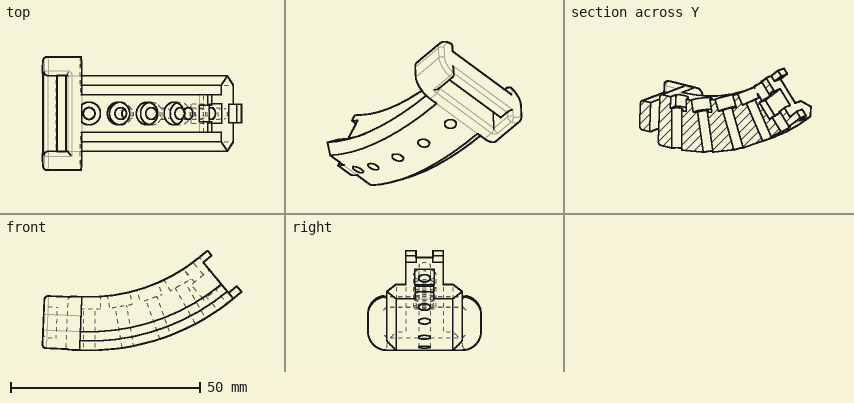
import cadquery as cq

inner_radius = 45.85
outer_radius = 60.0
start_angle = -2.4
end_angle = 39.5
rib_width = 10.0
flange_width = 20.0
flange_thickness = 4.95
flange_bevel = flange_thickness / 2

hole_count = 4
hole_pitch_angle = 9.8
hole_diameter = 3.05
counterbore_diameter = 6.0
counterbore_depth = 3.15

upper_tab_gap = 4.45
upper_tab_thickness = 1.75
lower_tab_width = 4.95
lower_tab_thickness = 2.0
tab_length = 2.85
socket_width = 5.3
socket_inner_radius = 50.0
socket_outer_radius = 55.15
pin_setback = 3.65
socket_depth = pin_setback + socket_width / 2

loop_width = 30.0
loop_length = 9.9
loop_corner_radius = 5.0
loop_edge_radius = 1.05
slot_width = 20.05
slot_length = 2.75
bar_thickness = 3.5
bar_recess = 3.0
loop_height = outer_radius - inner_radius

hole_overshoot = 0.55
selection_margin = 0.05


def at_angle(shape, angle):
    """Swing a shape built straight below the bend axis to its place along the bend."""
    return shape.rotate((0, 0, 0), (0, 1, 0), -angle)


def box_between(x_range, y_range, z_range):
    """A box given by its low and high limits along each axis."""
    sizes = [high - low for low, high in (x_range, y_range, z_range)]
    corner = (x_range[0], y_range[0], z_range[0])
    return cq.Workplane("XY").box(*sizes, centered=False).translate(corner)


def centred(width):
    """Limits of a width placed evenly about zero."""
    return (-width / 2, width / 2)


def radial_cylinder(diameter, from_radius, to_radius):
    """A vertical cylinder below the bend axis, between two distances from the axis."""
    height = to_radius - from_radius
    return cq.Workplane("XY").workplane(offset=-to_radius).circle(diameter / 2).extrude(height)


def curved_rail():
    """Revolve the rib and bevelled flange section about the bend axis."""
    half_rib = rib_width / 2
    half_flange = flange_width / 2
    half_flat = half_flange - flange_bevel
    flange_top = flange_thickness - outer_radius
    flange_middle = flange_bevel - outer_radius
    section = cq.Workplane("YZ").polyline([
        (-half_rib, -inner_radius),
        (half_rib, -inner_radius),
        (half_rib, flange_top),
        (half_flat, flange_top),
        (half_flange, flange_middle),
        (half_flat, -outer_radius),
        (-half_flat, -outer_radius),
        (-half_flange, flange_middle),
        (-half_flat, flange_top),
        (-half_rib, flange_top),
    ]).close()
    rail = section.revolve(end_angle - start_angle, (0, 0, 0), (-1, 0, 0))
    return at_angle(rail, start_angle)


def counterbored_hole():
    """Cutter for a through hole with its counterbore sunk from the inner face of the rib."""
    through = radial_cylinder(
        hole_diameter, inner_radius - hole_overshoot, outer_radius + hole_overshoot
    )
    counterbore = radial_cylinder(
        counterbore_diameter, inner_radius - hole_overshoot, inner_radius + counterbore_depth
    )
    return through.union(counterbore)


def end_tabs():
    """Two tabs continuing the rib sides and one continuing the flange bottom."""
    upper_z = (-inner_radius - upper_tab_thickness, -inner_radius)
    lower_z = (-outer_radius, lower_tab_thickness - outer_radius)
    x_range = (0, tab_length)
    upper = box_between(x_range, centred(rib_width), upper_z)
    gap = box_between(x_range, centred(upper_tab_gap), upper_z)
    lower = box_between(x_range, centred(lower_tab_width), lower_z)
    return at_angle(upper.cut(gap).union(lower), end_angle)


def end_socket():
    """Rectangular socket in the end face, crossed by a pin hole parallel to that face."""
    socket = box_between(
        (-socket_depth, 0), centred(socket_width), (-socket_outer_radius, -socket_inner_radius)
    )
    pin_hole = radial_cylinder(
        hole_diameter, inner_radius - hole_overshoot, outer_radius + hole_overshoot
    ).translate((-pin_setback, 0, 0))
    return at_angle(socket.union(pin_hole), end_angle)


def slot_rim_edges(block, rim_z, slot_back):
    """The side and back edges where the slot opens through the face at height rim_z."""
    reach = slot_width / 2 + selection_margin
    low = (-loop_length - selection_margin, -reach, rim_z - selection_margin)
    high = (slot_back + selection_margin, reach, rim_z + selection_margin)
    return block.edges(cq.selectors.BoxSelector(low, high, boundingbox=True))


def strap_loop():
    """Rounded block with a strap slot behind a lower, recessed front bar."""
    middle_z = -(inner_radius + outer_radius) / 2
    block = (
        box_between((-loop_length, 0), centred(loop_width), (-outer_radius, -inner_radius))
        .edges("|X")
        .fillet(loop_corner_radius)
    )
    slot_back = bar_thickness + slot_length - loop_length
    bar_height = loop_height - 2 * bar_recess
    opening = box_between(
        (-loop_length, slot_back), centred(slot_width), (-outer_radius, -inner_radius)
    )
    bar = box_between(
        (-loop_length, bar_thickness - loop_length),
        centred(slot_width),
        (middle_z - bar_height / 2, middle_z + bar_height / 2),
    )
    block = block.cut(opening.cut(bar))
    front_edges = block.faces("<X").edges()
    upper_rim = slot_rim_edges(block, -inner_radius, slot_back)
    lower_rim = slot_rim_edges(block, -outer_radius, slot_back)
    rounded = front_edges.add(upper_rim).add(lower_rim).fillet(loop_edge_radius)
    return at_angle(rounded, start_angle)


rail = curved_rail()
for hole_index in range(hole_count):
    rail = rail.cut(at_angle(counterbored_hole(), hole_index * hole_pitch_angle))

result = rail.cut(end_socket()).union(end_tabs()).union(strap_loop())